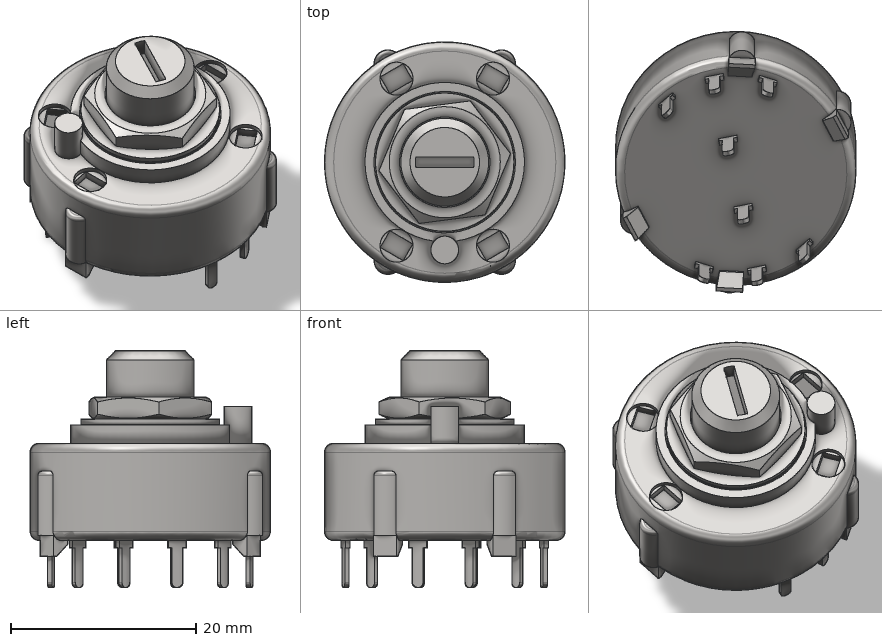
import cadquery as cq
import math


BODY_D = 26.0
BODY_H = 10.5
BODY_EDGE_R = 1.0

BOSS_D = 17.25
BOSS_TOP_Z = 12.5
RECESS_D = 15.3
RECESS_DEPTH = 0.5
COLLAR_D = 14.9
WASHER_D = 15.0
WASHER_BOTTOM_Z = 12.55
WASHER_TOP_Z = 13.13

NUT_TOP_Z = 15.5
NUT_FLATS = 12.43
NUT_FACE_D = 12.0
NUT_CORNER_DROP = 0.52
NUT_BORE_D = 9.78
NUT_TURN_DEG = 7.4

BUSHING_D = 9.5
BUSHING_TOP_Z = 20.51
BUSHING_CHAMFER = 1.0
SHAFT_D = 6.35
SLOT_W = 1.15
SLOT_DEPTH = 2.0

PEG_D = 3.0
PEG_RADIUS = 9.5
PEG_TOP_Z = 14.5

CLIP_ANGLES_DEG = (60, 120, 240, 300)
SINK_D = 3.55
SINK_RADIUS = 10.43
SINK_DEPTH = 0.5
POCKET_RADIAL = 2.08
POCKET_TANGENTIAL = 2.85
POCKET_DEPTH = 0.88

RIB_D = 3.02
RIB_RADIUS = 12.27
RIB_BOTTOM_Z = 0.55
RIB_TOP_Z = 7.51
RIB_EDGE_R = 0.47

HOOK_FACE_RADIUS = 12.92
HOOK_OUTER_W = 2.89
HOOK_INNER_W = 2.6
MIRRORED_HOOKS_DEG = (60, 240)
HOOK_REACH = 1.82
HOOK_TIP_REACH = 0.42
HOOK_BOTTOM_Z = -1.72
HOOK_SLOPE_TOP_Z = -0.4

OUTER_PIN_ANGLES_DEG = (15, 45, 75, 195, 225, 255)
OUTER_PIN_RADIUS = 11.1
COMMON_PIN_ANGLES_DEG = (45, 225)
COMMON_PIN_RADIUS = 3.95
PIN_W = 1.22
PIN_T = 0.5
PIN_BOTTOM_Z = -5.1
PIN_TIP_R = 0.57
SHOULDER_W = 2.0
SHOULDER_BOTTOM_Z = -0.8

OVERLAP = 0.52


def cylinder(diameter, bottom_z, top_z):
    return cq.Workplane("XY").workplane(offset=bottom_z).circle(diameter / 2).extrude(top_z - bottom_z)


def box(size_x, size_y, bottom_z, top_z):
    return cq.Workplane("XY").workplane(offset=bottom_z).rect(size_x, size_y).extrude(top_z - bottom_z)


def placed(shape, radius, angle_deg):
    """Move a shape from the axis out along +X, then turn it about the axis."""
    return shape.translate((radius, 0, 0)).rotate((0, 0, 0), (0, 0, 1), angle_deg)


def make_body():
    return cylinder(BODY_D, 0, BODY_H).edges().fillet(BODY_EDGE_R)


def make_sink():
    floor_z = BODY_H - SINK_DEPTH
    sink = cylinder(SINK_D, floor_z, BODY_H)
    pocket = box(POCKET_RADIAL, POCKET_TANGENTIAL, floor_z - POCKET_DEPTH, BODY_H)
    return sink.union(pocket)


def make_boss_and_washer():
    boss = cylinder(BOSS_D, BODY_H - OVERLAP, BOSS_TOP_Z)
    recess_z = BOSS_TOP_Z - RECESS_DEPTH
    recess = cylinder(RECESS_D, recess_z, BOSS_TOP_Z)
    collar = cylinder(COLLAR_D, recess_z, WASHER_BOTTOM_Z)
    washer = cylinder(WASHER_D, WASHER_BOTTOM_Z, WASHER_TOP_Z)
    return boss.cut(recess).union(collar).union(washer)


def make_nut():
    corner_r = NUT_FLATS / 2 / math.cos(math.pi / 6)
    height = NUT_TOP_Z - WASHER_TOP_Z
    hexagon = cq.Workplane("XY").workplane(offset=WASHER_TOP_Z).polygon(6, 2 * corner_r).extrude(height)
    chamfer_envelope = (
        cq.Workplane("XZ")
        .moveTo(0, WASHER_TOP_Z)
        .lineTo(NUT_FACE_D / 2, WASHER_TOP_Z)
        .lineTo(corner_r, WASHER_TOP_Z + NUT_CORNER_DROP)
        .lineTo(corner_r, NUT_TOP_Z - NUT_CORNER_DROP)
        .lineTo(NUT_FACE_D / 2, NUT_TOP_Z)
        .lineTo(0, NUT_TOP_Z)
        .close()
        .revolve(360, (0, 0, 0), (0, 1, 0))
    )
    bore = cylinder(NUT_BORE_D, WASHER_TOP_Z, NUT_TOP_Z)
    return placed(hexagon.intersect(chamfer_envelope).cut(bore), 0, NUT_TURN_DEG)


def make_bushing():
    bushing = cylinder(BUSHING_D, WASHER_TOP_Z - OVERLAP, BUSHING_TOP_Z)
    bushing = bushing.faces(">Z").edges().chamfer(BUSHING_CHAMFER)
    slot_z = BUSHING_TOP_Z - SLOT_DEPTH
    shaft_end = cylinder(SHAFT_D, slot_z, BUSHING_TOP_Z)
    slot = box(SHAFT_D, SLOT_W, slot_z, BUSHING_TOP_Z).intersect(shaft_end)
    return bushing.cut(slot)


def make_peg():
    return cylinder(PEG_D, BODY_H - OVERLAP, PEG_TOP_Z)


def make_rib():
    return cylinder(RIB_D, RIB_BOTTOM_Z, RIB_TOP_Z).faces(">Z").edges().fillet(RIB_EDGE_R)


def make_hook():
    """Hook with its outer face at x = 0 and its nose towards -X, narrowed on its -Y side."""
    top_z = RIB_BOTTOM_Z
    plan = (
        cq.Workplane("XY")
        .workplane(offset=HOOK_BOTTOM_Z)
        .polyline([
            (0, -HOOK_OUTER_W / 2),
            (0, HOOK_OUTER_W / 2),
            (-HOOK_REACH, HOOK_OUTER_W / 2),
            (-HOOK_REACH, HOOK_OUTER_W / 2 - HOOK_INNER_W),
        ])
        .close()
        .extrude(top_z - HOOK_BOTTOM_Z)
    )
    side = (
        cq.Workplane("XZ")
        .polyline([
            (0, HOOK_BOTTOM_Z),
            (0, top_z),
            (-HOOK_REACH, top_z),
            (-HOOK_REACH, HOOK_SLOPE_TOP_Z),
            (-HOOK_TIP_REACH, HOOK_BOTTOM_Z),
        ])
        .close()
        .extrude(HOOK_OUTER_W / 2, both=True)
    )
    return plan.intersect(side)


def make_pin():
    blade = box(PIN_T, PIN_W, PIN_BOTTOM_Z, OVERLAP)
    blade = blade.faces("<Z").edges("|X").fillet(PIN_TIP_R)
    shoulder = box(PIN_T, SHOULDER_W, SHOULDER_BOTTOM_Z, OVERLAP)
    return blade.union(shoulder)


result = make_body()

for angle in CLIP_ANGLES_DEG:
    result = result.union(placed(make_rib(), RIB_RADIUS, angle))
    hook = make_hook()
    if angle in MIRRORED_HOOKS_DEG:
        hook = hook.mirror("XZ")
    result = result.union(placed(hook, HOOK_FACE_RADIUS, angle))
    result = result.cut(placed(make_sink(), SINK_RADIUS, angle))

result = result.union(make_boss_and_washer()).union(make_nut()).union(make_bushing())
result = result.union(placed(make_peg(), PEG_RADIUS, -90))

for angle in OUTER_PIN_ANGLES_DEG:
    result = result.union(placed(make_pin(), OUTER_PIN_RADIUS, angle))

for angle in COMMON_PIN_ANGLES_DEG:
    result = result.union(placed(make_pin(), COMMON_PIN_RADIUS, angle))